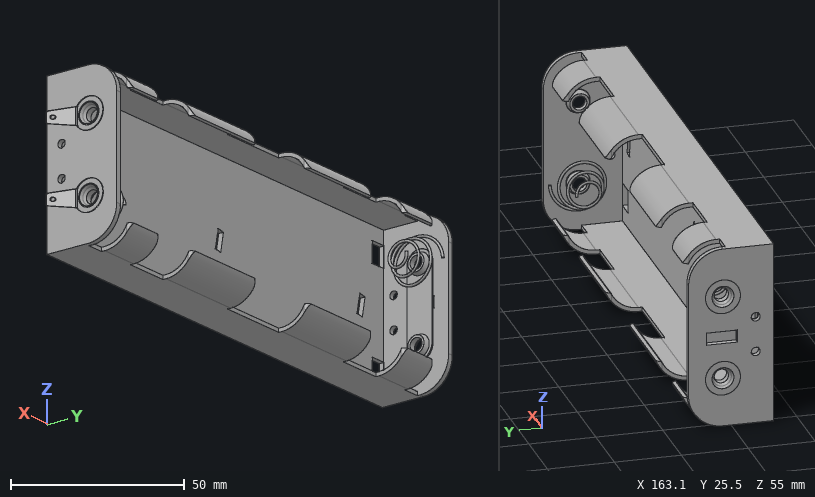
import cadquery as cq
import math

LENGTH = 158.5
DEPTH = 25.5
HEIGHT = 55.0
WALL = 1.8
SIDE_WALL = 1.3
CORNER_RADIUS = 10.3
MID_X = LENGTH / 2
MID_Z = HEIGHT / 2
CORNER_Y = DEPTH - CORNER_RADIUS

AXIS_Y = CORNER_Y
ROW_SPACING = 25.3
LOWER_ROW_Z = MID_Z - ROW_SPACING / 2
UPPER_ROW_Z = MID_Z + ROW_SPACING / 2
ROWS_Z = (LOWER_ROW_Z, UPPER_ROW_Z)

CLIP_TOP = 24.8
CLIP_ROUND = 1.6
NOTCH_FLOOR = 14.0
CLIP_SPANS = ((7.7, 21.4), (36.7, 67.2))
CLIP_REACH = CORNER_RADIUS - math.sqrt(CORNER_RADIUS**2 - (CLIP_TOP - CORNER_Y) ** 2)

WINDOW_HEIGHT = 7.0
WINDOW_INSET = 1.55
WINDOW_WIDTH_LEFT = 5.5
WINDOW_WIDTH_RIGHT = 6.0
WINDOW_OFFSET_Z = 18.0
SLOT_CENTERS_X = (12.4, 79.3, 150.0)
SLOT_WIDTH = 2.5
SLOT_LENGTH = 6.7
SLOT_TILT = 11.0

WIRE_HOLE_RADIUS = 1.3
WIRE_HOLE_Y = 5.4
WIRE_HOLE_OFFSET_Z = 5.4
END_SLOT_BOTTOM = 10.8
END_SLOT_TOP = 20.0
END_SLOT_HEIGHT = 3.8

EYELET_BORE = 2.1
EYELET_FLARE = 3.3
EYELET_THROAT = 2.8
EYELET_THROAT_DEPTH = 1.0
EYELET_BARREL = 3.6
EYELET_TIP = 3.0
EYELET_PROTRUSION = 2.1
HEAD_RADIUS = 5.2

SHEET = 0.5
TAB_SHEET = 0.3
JUMPER_WIDTH = 9.1
TAB_BEND_Y = 11.1
TAB_TIP_X = 163.1
TAB_TIP_Y = 3.3
TAB_ROOT_WIDTH = 5.9
TAB_TIP_WIDTH = 3.8
TAB_TIP_ROUND = 0.8
TAB_HOLE_RADIUS = 0.7
TAB_HOLE_Y = 4.9

WIRE_RADIUS = 0.4
SPRING_RADIUS = 8.5
SPRING_PITCH = 3.9
SPRING_TURNS = 3
SPRING_TAPER = 26.0


def box(x_span, y_span, z_span):
    """Box between the given start and end positions on each axis."""
    spans = (x_span, y_span, z_span)
    size = [end - start for start, end in spans]
    corner = [start for start, end in spans]
    return cq.Workplane("XY").box(*size, centered=False).translate(tuple(corner))


def rod(radius, x_start, x_end, y, z):
    """Cylinder parallel to X."""
    return cq.Workplane("YZ", origin=(x_start, y, z)).circle(radius).extrude(x_end - x_start)


def at_far_end(shape):
    """Turn a shape half round the tray's middle, onto the opposite end and row."""
    return shape.rotate((MID_X, 0, MID_Z), (MID_X, 1, MID_Z), 180)


def tray():
    """Hollow tray with rounded open-side corners and an opening between the clips."""
    outer = box((0, LENGTH), (0, DEPTH), (0, HEIGHT))
    outer = outer.edges("|X and >Y").fillet(CORNER_RADIUS)
    inside_x = (WALL, LENGTH - WALL)
    cavity = box(inside_x, (WALL, DEPTH - SIDE_WALL), (SIDE_WALL, HEIGHT - SIDE_WALL))
    cavity = cavity.edges("|X and >Y").fillet(CORNER_RADIUS - SIDE_WALL)
    opening = box(inside_x, (CORNER_Y, DEPTH), (CLIP_REACH, HEIGHT - CLIP_REACH))
    return outer.cut(cavity).cut(opening)


def clip_gaps():
    """Material to remove from the curved edges so that only the rounded clips remain."""
    gaps = box((WALL, LENGTH - WALL), (NOTCH_FLOOR, DEPTH), (0, HEIGHT))
    for start, end in CLIP_SPANS:
        for span in ((start, end), (LENGTH - end, LENGTH - start)):
            clip = box(span, (NOTCH_FLOOR, CLIP_TOP), (0, HEIGHT))
            gaps = gaps.cut(clip.edges("|Z and >Y").fillet(CLIP_ROUND))
    return gaps


def floor_openings():
    """Contact windows in the four corners and three tilted slots on the centre line."""
    left = (WINDOW_INSET, WINDOW_INSET + WINDOW_WIDTH_LEFT)
    right = (LENGTH - WINDOW_INSET - WINDOW_WIDTH_RIGHT, LENGTH - WINDOW_INSET)
    openings = cq.Workplane("XY")
    for side in (-1, 1):
        center_z = MID_Z + side * WINDOW_OFFSET_Z
        z_span = (center_z - WINDOW_HEIGHT / 2, center_z + WINDOW_HEIGHT / 2)
        for x_span in (left, right):
            openings = openings.add(box(x_span, (0, WALL), z_span))
    for x in SLOT_CENTERS_X:
        slot = cq.Workplane("XY").box(SLOT_WIDTH, WALL, SLOT_LENGTH)
        slot = slot.rotate((0, 0, 0), (0, 1, 0), -SLOT_TILT)
        openings = openings.add(slot.translate((x, WALL / 2, MID_Z)))
    return openings.combine()


def end_wall_openings():
    """Wire holes through both end walls and one slot in the jumper end wall."""
    half_slot = END_SLOT_HEIGHT / 2
    openings = box((0, WALL), (END_SLOT_BOTTOM, END_SLOT_TOP), (MID_Z - half_slot, MID_Z + half_slot))
    for side in (-1, 1):
        z = MID_Z + side * WIRE_HOLE_OFFSET_Z
        openings = openings.union(rod(WIRE_HOLE_RADIUS, 0, LENGTH, WIRE_HOLE_Y, z))
    return openings


def eyelet_blank(row_z):
    """Eyelet without its bore, in the jumper end wall: barrel and tapered inner end."""
    shoulder = WALL + SHEET
    tip = WALL + EYELET_PROTRUSION
    profile = [(0, 0), (0, EYELET_BARREL), (shoulder, EYELET_BARREL), (tip, EYELET_TIP), (tip, 0)]
    blank = cq.Workplane("XY").polyline(profile).close().revolve(360, (0, 0, 0), (1, 0, 0))
    return blank.translate((0, AXIS_Y, row_z))


def eyelet_bore(row_z):
    """Through bore of an eyelet in the jumper end wall, flared in two steps at the outer face."""
    tip = WALL + EYELET_PROTRUSION
    profile = [
        (0, 0),
        (0, EYELET_FLARE),
        (EYELET_THROAT_DEPTH, EYELET_THROAT),
        (WALL, EYELET_BORE),
        (tip, EYELET_BORE),
        (tip, 0),
    ]
    bore = cq.Workplane("XY").polyline(profile).close().revolve(360, (0, 0, 0), (1, 0, 0))
    return bore.translate((0, AXIS_Y, row_z))


def eyelet_head(row_z):
    """Wide head disc, flush with the outer face of the jumper end wall."""
    return rod(HEAD_RADIUS, 0, SHEET, AXIS_Y, row_z)


def jumper_plate():
    """Strip with round ends on the inner face of the end wall, joining both rows."""
    length = UPPER_ROW_Z - LOWER_ROW_Z + JUMPER_WIDTH
    plane = cq.Workplane("YZ", origin=(WALL, AXIS_Y, MID_Z))
    return plane.slot2D(length, JUMPER_WIDTH, 90).extrude(SHEET)


def solder_tab_blank(row_z):
    """Disc flush with the outer end face, with a tapered tongue bent outwards."""
    run_x = TAB_TIP_X - LENGTH
    run_y = TAB_BEND_Y - TAB_TIP_Y
    tongue = math.hypot(run_x, run_y)
    bend_angle = math.atan2(run_x, run_y)
    inner_bend_y = TAB_BEND_Y - TAB_SHEET * math.tan(bend_angle / 2)
    inner_tip = (TAB_TIP_X - TAB_SHEET * run_y / tongue, TAB_TIP_Y - TAB_SHEET * run_x / tongue)
    disc_top = AXIS_Y + HEAD_RADIUS
    side_profile = [
        (LENGTH - TAB_SHEET, disc_top),
        (LENGTH, disc_top),
        (LENGTH, TAB_BEND_Y),
        (TAB_TIP_X, TAB_TIP_Y),
        inner_tip,
        (LENGTH - TAB_SHEET, inner_bend_y),
    ]
    strip = cq.Workplane("XY", origin=(0, 0, row_z)).polyline(side_profile).close()
    strip = strip.extrude(HEAD_RADIUS, both=True)

    disc = rod(HEAD_RADIUS, LENGTH - TAB_SHEET, LENGTH, AXIS_Y, row_z)
    disc = disc.intersect(box((0, LENGTH), (TAB_BEND_Y, DEPTH), (0, HEIGHT)))
    tongue_outline = [
        (TAB_BEND_Y, -TAB_ROOT_WIDTH / 2),
        (TAB_BEND_Y, TAB_ROOT_WIDTH / 2),
        (inner_tip[1], TAB_TIP_WIDTH / 2),
        (inner_tip[1], -TAB_TIP_WIDTH / 2),
    ]
    plane = cq.Workplane("YZ", origin=(LENGTH - TAB_SHEET, 0, row_z))
    outline = plane.polyline(tongue_outline).close().extrude(TAB_TIP_X - LENGTH + TAB_SHEET)
    outline = outline.edges("|X and <Y").fillet(TAB_TIP_ROUND)
    hole = rod(TAB_HOLE_RADIUS, LENGTH, TAB_TIP_X, TAB_HOLE_Y, row_z)
    return disc.union(strip.intersect(outline)).cut(hole)


def spring():
    """Conical coil in the upper row, widest where it rests on the jumper end wall."""
    path = cq.Wire.makeHelix(
        SPRING_PITCH,
        SPRING_PITCH * SPRING_TURNS,
        SPRING_RADIUS,
        angle=-SPRING_TAPER,
    )
    section = cq.Workplane("XZ", origin=(SPRING_RADIUS, 0, 0)).circle(WIRE_RADIUS)
    coil = section.sweep(cq.Workplane(path), isFrenet=True)
    seat = cq.Plane(origin=(WALL + WIRE_RADIUS, AXIS_Y, UPPER_ROW_Z), xDir=(0, 1, 0), normal=(1, 0, 0))
    return cq.Workplane(coil.val().moved(cq.Location(seat)))


jumper_eyelets = []
tab_eyelets = []
solder_tabs = []
jumper = jumper_plate()
housing = tray().cut(clip_gaps()).cut(floor_openings()).cut(end_wall_openings())

for z in ROWS_Z:
    headed_blank = eyelet_blank(z).union(eyelet_head(z))
    housing = housing.cut(headed_blank)
    jumper = jumper.cut(headed_blank)
    jumper_eyelets.append(headed_blank.cut(eyelet_bore(z)))

    plain_blank = eyelet_blank(z)
    tab_blank = solder_tab_blank(z)
    housing = housing.cut(at_far_end(plain_blank)).cut(tab_blank)
    tab_eyelets.append(at_far_end(plain_blank.cut(eyelet_bore(z))))
    solder_tabs.append(tab_blank.cut(rod(EYELET_BARREL, LENGTH - TAB_SHEET, LENGTH, AXIS_Y, z)))

upper_spring = spring()
springs = [upper_spring, at_far_end(upper_spring)]

bodies = [housing, jumper, *jumper_eyelets, *tab_eyelets, *solder_tabs, *springs]
result = cq.Compound.makeCompound([body.solids().val() for body in bodies])